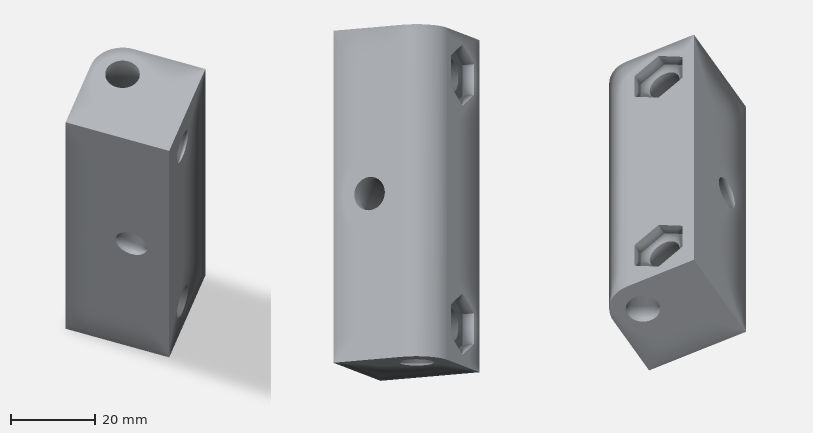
import cadquery as cq

width = 26.0
depth = 26.0
height = 80.0

corner_radius = 8.0
pivot_diameter = 8.2

bolt_diameter = 8.0
bolt_offset = 16.5
bolt_end_distance = 10.0

nut_corner_diameter = 14.8
nut_depth = 3.0
nut_sides = 6

cross_bolt_y = depth - bolt_offset
cross_bolt_heights = (bolt_end_distance, height - bolt_end_distance)


def make_block():
    block = cq.Workplane("XY").box(width, depth, height, centered=False)
    return block.edges("|Z and <X and >Y").fillet(corner_radius)


def pivot_bore():
    return (
        cq.Workplane("XY")
        .center(corner_radius, depth - corner_radius)
        .circle(pivot_diameter / 2)
        .extrude(height)
    )


def front_bolt_hole():
    return (
        cq.Workplane("XZ")
        .center(bolt_offset, height / 2)
        .circle(bolt_diameter / 2)
        .extrude(-depth)
    )


def cross_bolt_hole(z):
    """Through hole along X with a nut pocket at its -X end."""
    plane = cq.Workplane("YZ").center(cross_bolt_y, z)
    hole = plane.circle(bolt_diameter / 2).extrude(width)
    pocket = (
        plane.transformed(rotate=(0, 0, 90))
        .polygon(nut_sides, nut_corner_diameter)
        .extrude(nut_depth)
    )
    return hole.union(pocket)


result = make_block().cut(pivot_bore()).cut(front_bolt_hole())
for bolt_height in cross_bolt_heights:
    result = result.cut(cross_bolt_hole(bolt_height))